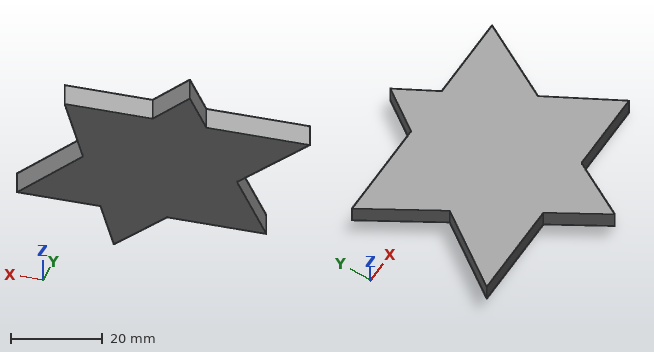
import cadquery as cq

thickness = 5.0
total_height = 58.45

up_base_width = 56.62
up_base_left = -30.74
up_base_right = up_base_left + up_base_width
up_base_y = 13.24

down_base_width = 55.72
down_base_left = -30.14
down_base_right = down_base_left + down_base_width
down_base_y = 48.71


def triangular_plate(base_left, base_right, base_y, tip_y):
    """Plate with a base parallel to X and its tip on the Y axis."""
    corners = [(base_left, base_y), (base_right, base_y), (0, tip_y)]
    return cq.Workplane("XY").polyline(corners).close().extrude(thickness)


upward_triangle = triangular_plate(up_base_left, up_base_right, up_base_y, total_height)
downward_triangle = triangular_plate(down_base_left, down_base_right, down_base_y, 0)

result = upward_triangle.union(downward_triangle).clean()